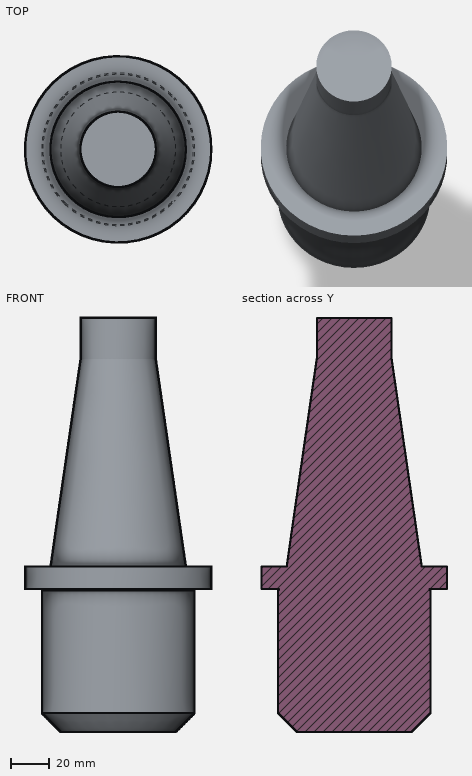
import cadquery as cq

total_height = 216.8
flange_bottom = 74.8
flange_top = 86.7
taper_top = 195.1

shank_diameter = 80.0
flange_diameter = 97.5
taper_base_diameter = 71.0
tip_diameter = 39.5

lower_chamfer = 10.0
upper_chamfer = 0.7


def cylinder(diameter, bottom, top):
    """Cylinder on the Z axis between two heights."""
    return cq.Workplane("XY").workplane(offset=bottom).circle(diameter / 2).extrude(top - bottom)


def cone(bottom_diameter, top_diameter, bottom, top):
    """Truncated cone on the Z axis between two heights."""
    profile = [
        (0, bottom),
        (bottom_diameter / 2, bottom),
        (top_diameter / 2, top),
        (0, top),
    ]
    return cq.Workplane("XZ").polyline(profile).close().revolve(360, (0, 0), (0, 1))


shank = cylinder(shank_diameter, 0, flange_bottom)
shank = shank.faces("<Z").chamfer(lower_chamfer)
shank = shank.faces(">Z").chamfer(upper_chamfer)

flange = cylinder(flange_diameter, flange_bottom, flange_top)
taper = cone(taper_base_diameter, tip_diameter, flange_top, taper_top)
tip = cylinder(tip_diameter, taper_top, total_height)

result = shank.union(flange).union(taper).union(tip)